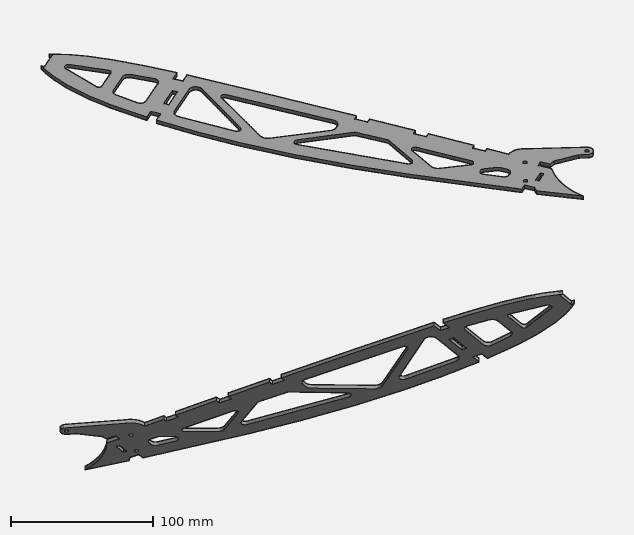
import cadquery as cq
import math

length = 412.0
thickness = 3.0

nose_top = 50.0
nose_bottom = 34.5
nose_recess = 2.5

top_edge_points = [(16.0, 55.0), (52.0, 60.5), (92.0, 62.0), (177.0, 61.5), (254.5, 59.7), (344.5, 57.0)]
belly_points = [
    (330.0, 15.0), (276.0, 7.0), (212.5, 1.2), (164.5, 0), (99.3, 3.7),
    (48.0, 12.5), (9.5, 28.0), (0, nose_bottom),
]

frame_left = 92.0
frame_right = 99.3
frame_top_floor = 54.5
frame_belly_floor = 12.0

stringer_notches = [(228.0, 56.5), (273.0, 55.0), (318.0, 54.5)]
stringer_width = 10.0

spar_left = 368.5
spar_right = 376.0
spar_top_floor = 52.0
spar_top_ceiling = 56.5
spar_belly_floor = 26.5

arm_eye = (394.0, 80.7)
arm_eye_radius = 4.5
arm_upper_angle = math.radians(115)
arm_lower_angle = math.radians(-65)

small_hole_diameter = 3.0
round_holes = [
    (*arm_eye, small_hole_diameter),
    (358.7, 52.0, small_hole_diameter),
    (367.5, 31.5, small_hole_diameter),
]

tab_slots = [
    (96.8, 24.5, 3.7, 16.5),
    (373.5, 35.0, 2.5, 9.0),
]

windows = [
    [(8.0, 42.0, 3.0), (48.5, 47.5, 2.0), (48.5, 24.5, 2.0)],
    [(58.0, 47.8, 5.0), (84.0, 50.0, 4.0), (84.0, 17.5, 4.0), (58.0, 22.2, 5.0)],
    [(107.0, 57.0, 5.0), (164.5, 11.5, 3.0), (107.0, 13.5, 5.8)],
    [(126.0, 50.2, 2.5), (220.0, 49.5, 5.0), (220.0, 38.7, 5.0), (177.5, 10.5, 6.0)],
    [(191.0, 12.0, 3.0), (234.5, 41.5, 3.5), (259.5, 41.5, 3.5), (290.8, 20.5, 3.0)],
    [(272.5, 40.8, 2.5), (331.0, 39.5, 2.5), (302.5, 21.0, 6.0)],
    [(321.5, 25.5, 3.5), (343.5, 39.5, 3.5), (353.8, 39.5, 3.7), (353.8, 30.5, 3.7)],
]


def box(left, bottom, width, height):
    """Rectangular cutter through the plate, placed by its lower left corner."""
    return cq.Workplane("XY").box(width, height, thickness, centered=False).translate((left, bottom, 0))


def toward(start, end, distance):
    """Point at a distance from start on the line to end."""
    fraction = distance / math.dist(start, end)
    return tuple(a + fraction * (b - a) for a, b in zip(start, end))


def rounded_window(corners):
    """Polygonal cutter whose corners are each rounded by their own radius."""
    sketch = None
    for i, (x, y, radius) in enumerate(corners):
        corner = (x, y)
        before = corners[i - 1][:2]
        after = corners[(i + 1) % len(corners)][:2]
        unit_before = toward(corner, before, 4)
        unit_after = toward(corner, after, 4)
        half_angle = math.asin(math.dist(unit_before, unit_after) / 8.2)
        setback = radius / math.tan(half_angle)
        bisector = tuple((a + b) / 2 for a, b in zip(unit_before, unit_after))
        arc_start = toward(corner, before, setback)
        arc_middle = toward(corner, bisector, radius / math.sin(half_angle) - radius)
        arc_end = toward(corner, after, setback)
        sketch = cq.Workplane("XY").moveTo(*arc_start) if sketch is None else sketch.lineTo(*arc_start)
        sketch = sketch.threePointArc(arc_middle, arc_end)
    return sketch.close().extrude(thickness)


def on_eye(angle):
    """Point on the rounded end of the hinge arm."""
    return (
        arm_eye[0] + arm_eye_radius * math.cos(angle),
        arm_eye[1] + arm_eye_radius * math.sin(angle),
    )


def plate():
    """Solid outline, traced clockwise from the upper nose tip."""
    return (
        cq.Workplane("XY")
        .moveTo(0, nose_top)
        .spline(top_edge_points, includeCurrent=True)
        .threePointArc((347.5, 64.0), (353.8, 67.5))
        .lineTo(*on_eye(arm_upper_angle))
        .threePointArc(on_eye(0), on_eye(arm_lower_angle))
        .lineTo(390.5, 74.0)
        .lineTo(377.3, 61.0)
        .lineTo(spar_right, spar_top_ceiling)
        .lineTo(spar_left, spar_top_ceiling)
        .lineTo(spar_left, spar_top_floor)
        .lineTo(379.0, spar_top_floor)
        .threePointArc((392.5, 38.0), (length, 29.2))
        .lineTo(379.0, 23.0)
        .lineTo(spar_right, spar_belly_floor)
        .lineTo(spar_left, spar_belly_floor)
        .lineTo(spar_left, 21.0)
        .spline(belly_points, includeCurrent=True)
        .lineTo(nose_recess, nose_bottom)
        .lineTo(nose_recess, nose_top)
        .close()
        .extrude(thickness)
    )


result = plate()

open_height = 12.5
frame_width = frame_right - frame_left
result = result.cut(box(frame_left, frame_top_floor, frame_width, open_height))
result = result.cut(box(frame_left, frame_belly_floor - open_height, frame_width, open_height))
for notch_left, notch_floor in stringer_notches:
    result = result.cut(box(notch_left, notch_floor, stringer_width, open_height))

for slot in tab_slots:
    result = result.cut(box(*slot))

for window in windows:
    result = result.cut(rounded_window(window))

for hole_x, hole_y, diameter in round_holes:
    hole = cq.Workplane("XY").center(hole_x, hole_y).circle(diameter / 2).extrude(thickness)
    result = result.cut(hole)